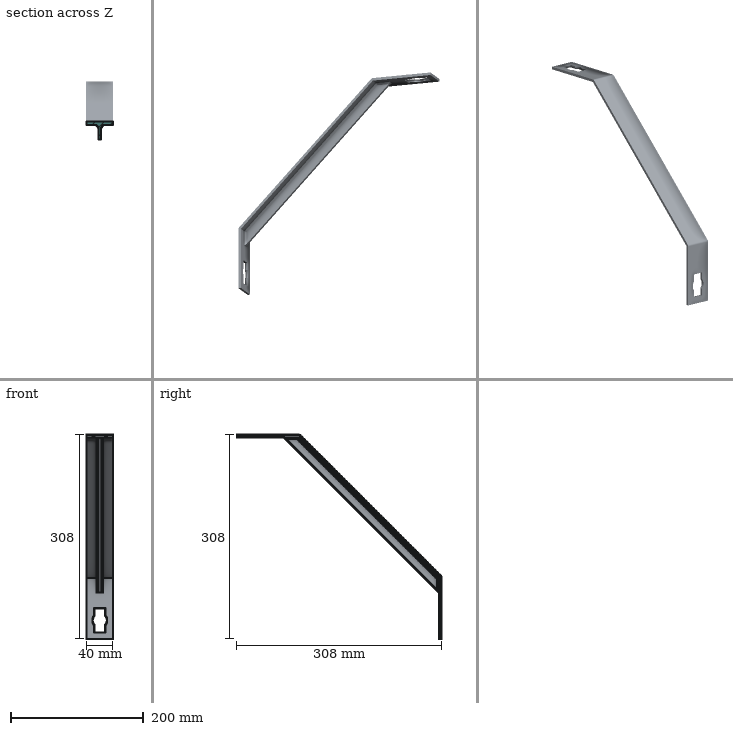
import cadquery as cq
import math

size = 308.0
width = 40.0
thickness = 4.0
arm_length = 92.5

slot_width = 16.0
slot_length = 36.0
slot_hole_diameter = 21.5
slot_center = 28.5

rib_thickness = 5.0
rib_reach = 22.0
weld_leg = 2.8

inner_face = size - thickness
bend_shift = thickness * math.sin(math.radians(45))
bend_mid_shift = thickness * math.sin(math.radians(22.5))
bend_mid_rise = thickness * math.cos(math.radians(22.5))


def make_strip():
    """Bent strip with sharp inner corners and outer bends of one thickness radius."""
    return (
        cq.Workplane("YZ")
        .moveTo(0, size)
        .lineTo(arm_length, size)
        .threePointArc(
            (arm_length + bend_mid_shift, inner_face + bend_mid_rise),
            (arm_length + bend_shift, inner_face + bend_shift),
        )
        .lineTo(inner_face + bend_shift, arm_length + bend_shift)
        .threePointArc(
            (inner_face + bend_mid_rise, arm_length + bend_mid_shift),
            (size, arm_length),
        )
        .lineTo(size, 0)
        .lineTo(inner_face, 0)
        .lineTo(inner_face, arm_length)
        .lineTo(arm_length, inner_face)
        .lineTo(0, inner_face)
        .close()
        .extrude(width / 2, both=True)
    )


def corner_web(x_offset, reach):
    """Outline bounded by the strut, both arms and a parallel 45 degree line."""
    return cq.Workplane("YZ").workplane(offset=x_offset).polyline([
        (arm_length, inner_face),
        (inner_face, arm_length),
        (inner_face, arm_length - reach),
        (arm_length - reach, inner_face),
    ]).close()


def make_rib():
    """Rib whose sides are relieved to leave 45 degree beads along strut and arms."""
    half_root = rib_thickness / 2 + weld_leg
    rib = corner_web(0, rib_reach).extrude(half_root, both=True)
    relief = corner_web(half_root, 2 * rib_reach).extrude(-weld_leg, taper=45)
    return rib.cut(relief).cut(relief.mirror("YZ"))


def slot_cutter(plane, center, depth):
    """Rectangular slot, long in the plane's local Y, with a round hole in its middle."""
    base = cq.Workplane(plane).center(0, center)
    slot = base.rect(slot_width, slot_length).extrude(depth)
    return slot.union(base.circle(slot_hole_diameter / 2).extrude(depth))


top_slot = slot_cutter("XY", slot_center, size)
upright_slot = slot_cutter("XZ", slot_center, -size)

arms = make_strip().cut(top_slot).cut(upright_slot)
result = arms.union(make_rib())